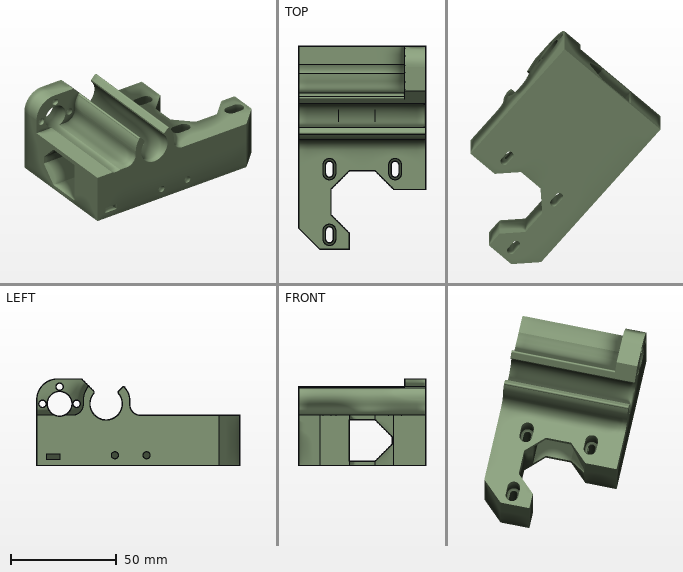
import cadquery as cq
import math

LENGTH_X = 60.0
LENGTH_Y = 96.0
DECK_Z = 23.8
CORNER_CHAMFER = 10.0

MOTOR_X = LENGTH_X / 2
MOTOR_Y = 22.4
WINDOW_ACROSS_FLATS = 29.4
WINDOW_SIDE = WINDOW_ACROSS_FLATS * math.tan(math.pi / 8)
OCTAGON_TURN = 360 / 8 / 2
SCREW_SPACING = 31.0
LEG_X = MOTOR_X - WINDOW_SIDE / 2
FRONT_Y = 28.2
SLOT_WIDTH = 3.6
SLOT_LENGTH = 7.5
POCKET_WIDTH = 6.0
POCKET_LENGTH = 10.1
POCKET_FLOOR_Z = 15.8

BORE_Y = 63.2
BORE_Z = 29.2
BEARING_DIAMETER = 15.2
BORE_END_RADIUS = 0.9
MOUTH_HALF = 5.7
WALL_BEND_Z = 30.7
TIP_HALF = 8.3
TIP_Z = 36.7
TIP_RADIUS = 0.7
TIP_DIAGONAL = TIP_RADIUS * math.sqrt(0.5)
LIP_Z = TIP_Z + TIP_DIAGONAL - (TIP_HALF - TIP_DIAGONAL - MOUTH_HALF)
FRONT_WALL_HALF = 11.2
FRONT_FOOT_RADIUS = 5.0
REAR_WALL_HALF = 10.8
REAR_FOOT_RADIUS = 5.2

PLATE_TOP_Z = 41.0
PLATE_THICKNESS = 10.0
PLATE_CORNER_RADIUS = 10.0
ROD_Y = 85.2
ROD_DIAMETER = 11.6
SMALL_HOLE = 3.4
SMALL_HOLE_OFFSET = 8.1

TUNNEL_LEFT_X = 18.8
TUNNEL_RIGHT_X = 44.1
TUNNEL_BOTTOM_Z = 2.1
TUNNEL_TOP_Z = 21.6
TUNNEL_CHAMFER = 8.0

SIDE_DEPTH = 10.0
SIDE_HOLE_Z = 4.9
SIDE_HOLES_Y = (44.1, 59.0)
TIE_SLOT_Y = 88.1
TIE_SLOT_Z = 4.2
TIE_SLOT_WIDTH = 6.4
TIE_SLOT_HEIGHT = 2.7


def box(x0, x1, y0, y1, z0, z1):
    return cq.Workplane("XY").box(x1 - x0, y1 - y0, z1 - z0, centered=False).translate((x0, y0, z0))


def cylinder_x(y, z, diameter, x0, x1):
    return cq.Workplane("YZ", origin=(x0, y, z)).circle(diameter / 2).extrude(x1 - x0)


def bearing_bore():
    return cylinder_x(BORE_Y, BORE_Z, BEARING_DIAMETER, 0, LENGTH_X)


def base_block():
    """Lower block with the bottom of the bearing bore, rounded over at its high-X end."""
    outline = [
        (CORNER_CHAMFER, 0),
        (LEG_X, 0),
        (LEG_X, FRONT_Y),
        (LENGTH_X, FRONT_Y),
        (LENGTH_X, LENGTH_Y),
        (0, LENGTH_Y),
        (0, CORNER_CHAMFER),
    ]
    block = cq.Workplane("XY").polyline(outline).close().extrude(DECK_Z)
    return block.cut(bearing_bore()).faces(">X").edges("%CIRCLE").fillet(BORE_END_RADIUS)


def snap_wall(wall_half, foot_radius):
    """Snap wall on the +Y side of the bore: foot fillet, bent outer face, round tip, sloped mouth."""
    tip_outer = TIP_HALF + TIP_RADIUS
    tip_rise = TIP_Z - WALL_BEND_Z
    tip_lean = wall_half - tip_outer
    bend_radius = (tip_rise**2 + tip_lean**2) / (2 * tip_lean)
    half_angle = math.asin(tip_rise / bend_radius) / 2
    bend_mid = (
        wall_half - bend_radius * (1 - math.cos(half_angle)),
        WALL_BEND_Z + bend_radius * math.sin(half_angle),
    )
    foot_mid = foot_radius * (1 - math.sqrt(0.5))
    return (
        cq.Workplane("YZ", origin=(0, BORE_Y, 0))
        .moveTo(0, DECK_Z)
        .lineTo(wall_half + foot_radius, DECK_Z)
        .threePointArc((wall_half + foot_mid, DECK_Z + foot_mid), (wall_half, DECK_Z + foot_radius))
        .lineTo(wall_half, WALL_BEND_Z)
        .threePointArc(bend_mid, (tip_outer, TIP_Z))
        .threePointArc((TIP_HALF, TIP_Z + TIP_RADIUS), (TIP_HALF - TIP_DIAGONAL, TIP_Z + TIP_DIAGONAL))
        .lineTo(MOUTH_HALF, LIP_Z)
        .lineTo(MOUTH_HALF, BORE_Z)
        .lineTo(0, BORE_Z)
        .close()
        .extrude(LENGTH_X)
    )


def cradle():
    """Two facing snap walls bored for the bearing."""
    rear = snap_wall(REAR_WALL_HALF, REAR_FOOT_RADIUS)
    front = snap_wall(FRONT_WALL_HALF, FRONT_FOOT_RADIUS).mirror("XZ", (0, BORE_Y, 0))
    return rear.union(front).cut(bearing_bore())


def end_plate():
    """Plate whose sloped edge carries on the 45 degree mouth of the cradle."""
    lip_y = BORE_Y + MOUTH_HALF
    arc_mid = PLATE_CORNER_RADIUS * (1 - math.sqrt(0.5))
    return (
        cq.Workplane("YZ", origin=(LENGTH_X - PLATE_THICKNESS, 0, 0))
        .moveTo(lip_y, DECK_Z)
        .lineTo(lip_y, LIP_Z)
        .lineTo(lip_y + PLATE_TOP_Z - LIP_Z, PLATE_TOP_Z)
        .lineTo(LENGTH_Y - PLATE_CORNER_RADIUS, PLATE_TOP_Z)
        .threePointArc(
            (LENGTH_Y - arc_mid, PLATE_TOP_Z - arc_mid),
            (LENGTH_Y, PLATE_TOP_Z - PLATE_CORNER_RADIUS),
        )
        .lineTo(LENGTH_Y, DECK_Z)
        .close()
        .extrude(PLATE_THICKNESS)
        .cut(bearing_bore())
    )


def rod_holes():
    """Rod bore along the whole deck and three small holes through the plate."""
    holes = cylinder_x(ROD_Y, BORE_Z, ROD_DIAMETER, 0, LENGTH_X)
    for dy, dz in ((-1, 0), (1, 0), (0, 1)):
        y = ROD_Y + dy * SMALL_HOLE_OFFSET
        z = BORE_Z + dz * SMALL_HOLE_OFFSET
        holes = holes.union(cylinder_x(y, z, SMALL_HOLE, LENGTH_X - PLATE_THICKNESS, LENGTH_X))
    return holes


def motor_window():
    corner_diameter = WINDOW_ACROSS_FLATS / math.cos(math.pi / 8)
    window = cq.Workplane("XY").polygon(8, corner_diameter).extrude(DECK_Z)
    return window.rotate((0, 0, 0), (0, 0, 1), OCTAGON_TURN).translate((MOTOR_X, MOTOR_Y, 0))


def motor_slots():
    """Screw slots with deep head pockets at three corners of the screw pattern."""
    reach = SCREW_SPACING / 2
    corners = [
        (MOTOR_X - reach, MOTOR_Y - reach),
        (MOTOR_X - reach, MOTOR_Y + reach),
        (MOTOR_X + reach, MOTOR_Y + reach),
    ]
    slots = cq.Workplane("XY").pushPoints(corners).slot2D(SLOT_LENGTH, SLOT_WIDTH, 90).extrude(DECK_Z)
    pockets = (
        cq.Workplane("XY", origin=(0, 0, POCKET_FLOOR_Z))
        .pushPoints(corners)
        .slot2D(POCKET_LENGTH, POCKET_WIDTH, 90)
        .extrude(DECK_Z - POCKET_FLOOR_Z)
    )
    return slots.union(pockets)


def tunnel():
    cavity = box(TUNNEL_LEFT_X, TUNNEL_RIGHT_X, FRONT_Y, LENGTH_Y, TUNNEL_BOTTOM_Z, TUNNEL_TOP_Z)
    return cavity.faces(">X").edges("|Y").chamfer(TUNNEL_CHAMFER)


def side_openings():
    openings = box(
        0,
        SIDE_DEPTH,
        TIE_SLOT_Y - TIE_SLOT_WIDTH / 2,
        TIE_SLOT_Y + TIE_SLOT_WIDTH / 2,
        TIE_SLOT_Z - TIE_SLOT_HEIGHT / 2,
        TIE_SLOT_Z + TIE_SLOT_HEIGHT / 2,
    )
    for y in SIDE_HOLES_Y:
        openings = openings.union(cylinder_x(y, SIDE_HOLE_Z, SMALL_HOLE, 0, SIDE_DEPTH))
    return openings


result = base_block().union(cradle()).union(end_plate())
for cutter in (rod_holes(), motor_window(), motor_slots(), tunnel(), side_openings()):
    result = result.cut(cutter)
result = result.clean()